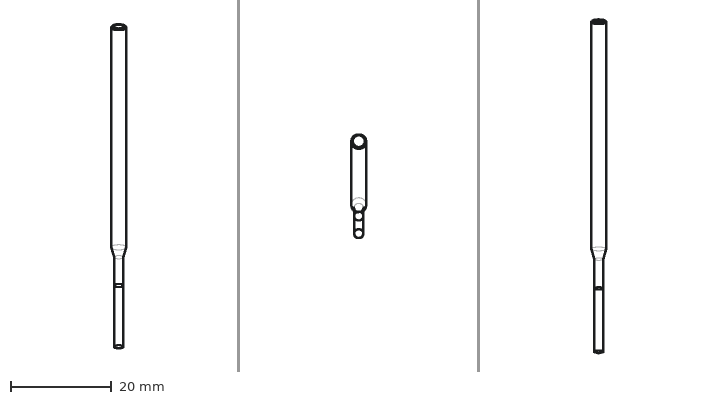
import cadquery as cq
import math


shank_diameter = 3.0
drill_diameter = 1.85

point_angle = 140.0
body_length = 68.0
cutting_length = 13.0
neck_length = 6.0
taper_length = 2.1
chamfer_size = 0.3

shank_radius = shank_diameter / 2
drill_radius = drill_diameter / 2
point_height = drill_radius / math.tan(math.radians(point_angle / 2))
cutting_top = point_height + cutting_length
neck_top = cutting_top + neck_length
taper_top = neck_top + taper_length
back_end = point_height + body_length


def turned_body(profile):
    """Revolve a (radius, height) profile about Z."""
    return cq.Workplane("XZ").polyline(profile).close().revolve(360, (0, 0, 0), (0, 1, 0))


def make_cutting_part():
    """Cylinder with a conical drill point."""
    return turned_body([
        (0, 0),
        (drill_radius, point_height),
        (drill_radius, cutting_top),
        (0, cutting_top),
    ])


def make_shank():
    """Neck, taper and clamping shank with a chamfered back end."""
    return turned_body([
        (0, cutting_top),
        (drill_radius, cutting_top),
        (drill_radius, neck_top),
        (shank_radius, taper_top),
        (shank_radius, back_end - chamfer_size),
        (shank_radius - chamfer_size, back_end),
        (0, back_end),
    ])


cutting_part = make_cutting_part()
shank = make_shank()

result = cq.Compound.makeCompound([cutting_part.val(), shank.val()])